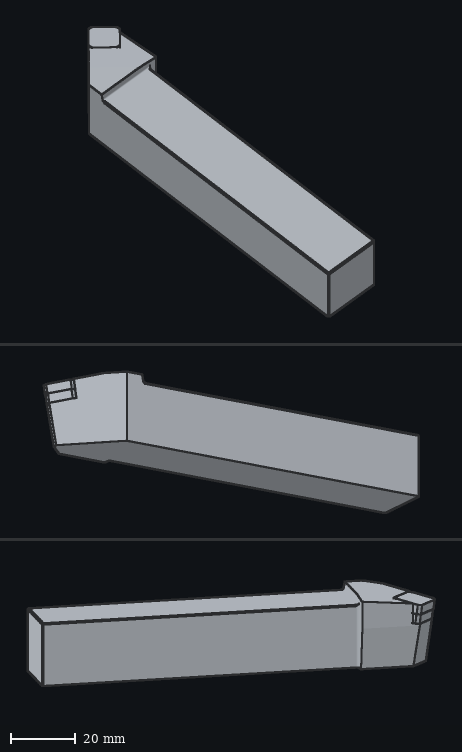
import cadquery as cq
import math

TOTAL_LENGTH = 124.7
SHANK_SIZE = 20.0
SHANK_CHAMFER = 0.4
HEAD_HEIGHT = 22.5
HEAD_WIDTH = 23.5
HEAD_BACK_FOOT = 22.3
BACK_RELIEF_HEIGHT = 13.1
STEP_TOP_X = 24.0
STEP_BASE_X = 24.4
STEP_FILLET = 0.6

FOOT_X = 18.5
LEAD_ANGLE = 43.6
CREASE_DISTANCE = 7.2
NOSE_DISTANCE = 19.3
TILT = 7.5
END_RELIEF = 9.0
AXIS_REACH_BACK = 49.9

INSERT_SIZE = 9.7
INSERT_THICKNESS = 3.1
CORNER_CUT = 1.0
SHIM_THICKNESS = 3.1
SHIM_INSET = 0.1

lead = math.radians(LEAD_ANGLE)
tilt = math.radians(TILT)
axis = cq.Vector(-math.cos(lead), math.sin(lead), 0)
inward = cq.Vector(math.sin(lead), math.cos(lead), 0)
up = cq.Vector(0, 0, 1)
foot = cq.Vector(FOOT_X, 0, 0)

seat = cq.Plane(
    origin=foot + axis * CREASE_DISTANCE + up * HEAD_HEIGHT,
    xDir=axis * math.cos(tilt) - up * math.sin(tilt),
    normal=axis * math.sin(tilt) + up * math.cos(tilt),
)


def make_shank():
    """Square bar with its long back and top edges and its upper, front and back end edges chamfered."""
    length = TOTAL_LENGTH - STEP_TOP_X
    bar = cq.Workplane().box(length, SHANK_SIZE, SHANK_SIZE, centered=False)
    bar = bar.edges("(>Z and |X) or (>X and >Z) or (>X and >Y) or (>X and <Y)").chamfer(SHANK_CHAMFER)
    return bar.translate((STEP_TOP_X, 0, 0))


def axis_profile():
    """Head profile along the tool axis: level top, sloping top and relieved end."""
    nose_s = CREASE_DISTANCE + NOSE_DISTANCE * math.cos(tilt)
    nose_z = HEAD_HEIGHT - NOSE_DISTANCE * math.sin(tilt)
    base_s = nose_s - nose_z * math.tan(math.radians(END_RELIEF))
    points = [
        (-AXIS_REACH_BACK, 0),
        (base_s, 0),
        (nose_s, nose_z),
        (CREASE_DISTANCE, HEAD_HEIGHT),
        (-AXIS_REACH_BACK, HEAD_HEIGHT),
    ]
    plane = cq.Plane(origin=foot, xDir=axis, normal=inward)
    solid = cq.Workplane(plane).polyline(points).close().extrude(AXIS_REACH_BACK)
    nose_edge = foot + axis * ((nose_s + base_s) / 2) + up * (nose_z / 2)
    return solid.edges(cq.selectors.NearestToPointSelector(nose_edge.toTuple())).chamfer(CORNER_CUT)


def step_profile(plane, full_size):
    """Head outline seen square to one shank side, with a filleted step down to the shank."""
    fillet_start = SHANK_SIZE + STEP_FILLET
    fillet_end = STEP_BASE_X + STEP_FILLET
    diagonal = STEP_FILLET * (1 - math.sqrt(0.5))
    return (
        cq.Workplane(plane)
        .moveTo(-STEP_TOP_X, 0)
        .lineTo(fillet_end, 0)
        .lineTo(fillet_end, SHANK_SIZE)
        .threePointArc((STEP_BASE_X + diagonal, SHANK_SIZE + diagonal), (STEP_BASE_X, fillet_start))
        .lineTo(STEP_TOP_X, full_size)
        .lineTo(-STEP_TOP_X, full_size)
        .close()
    )


def make_head():
    """Angled head with its back face relieved below and a step down to the shank."""
    side = step_profile("XZ", HEAD_HEIGHT).extrude(-HEAD_WIDTH)
    plan = step_profile("XY", HEAD_WIDTH).extrude(HEAD_HEIGHT)
    section = [
        (0, 0),
        (HEAD_BACK_FOOT, 0),
        (HEAD_WIDTH, BACK_RELIEF_HEIGHT),
        (HEAD_WIDTH, HEAD_HEIGHT),
        (0, HEAD_HEIGHT),
    ]
    relieved = (
        cq.Workplane("YZ", origin=(-STEP_TOP_X, 0, 0))
        .polyline(section).close().extrude(TOTAL_LENGTH)
    )
    return side.intersect(plan).intersect(relieved).intersect(axis_profile())


def seat_square(depth, thickness):
    """Sharp-cornered square block whose top lies at a depth below the sloping top."""
    return (
        cq.Workplane(seat)
        .workplane(offset=-depth - thickness)
        .center(NOSE_DISTANCE - INSERT_SIZE / 2, -INSERT_SIZE / 2)
        .rect(INSERT_SIZE, INSERT_SIZE)
        .extrude(thickness)
    )


def seat_plate(depth, thickness, inset):
    """Square plate with cut corners, its sides set in from the seat square."""
    side = INSERT_SIZE - 2 * inset
    return (
        cq.Workplane(seat)
        .workplane(offset=-depth - thickness)
        .center(NOSE_DISTANCE - INSERT_SIZE / 2, -INSERT_SIZE / 2)
        .rect(side, side)
        .extrude(thickness)
        .edges(cq.selectors.ParallelDirSelector(seat.zDir))
        .chamfer(CORNER_CUT)
    )


insert = seat_plate(0, INSERT_THICKNESS, 0)
pocket = seat_square(0, INSERT_THICKNESS + SHIM_THICKNESS)
shim = seat_plate(INSERT_THICKNESS, SHIM_THICKNESS, SHIM_INSET)

holder = make_head().union(make_shank()).cut(pocket).union(shim)

result = cq.Compound.makeCompound([holder.val(), insert.val()])